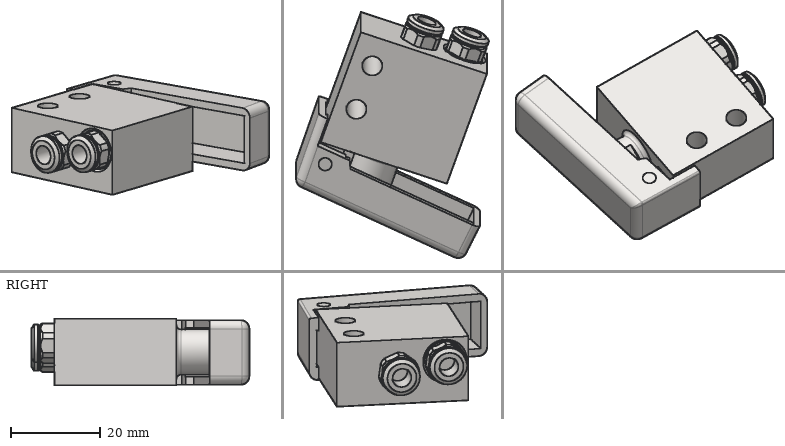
import cadquery as cq
import math


overall_y = 49.0

block_x = 30.0
block_y = 27.45
block_z = 15.0
mount_hole_d = 4.5
mount_hole_x = 5.0
mount_hole_ys = (6.65, 17.5)

lug_x = 6.0
lug_y = 7.6
pin_d = 3.0
pin_x = 2.65
pin_y = 32.1

lever_tilt = 6.5
lever_z0 = 0.15
lever_thickness = 14.55
lever_mid_z = lever_z0 + lever_thickness / 2
lever_end_x = 40.5
handle_depth = 9.15
hub_y0 = 28.6
hub_end_x = 7.55
hub_ramp_x = 8.35
leg_bottom_y = 21.75
leg_outer_x = -2.5
leg_inner_x = -0.35
leg_draft = 0.7
lever_round = 2.0
leg_edge_round = 0.5

side_wall = 1.75
end_wall = 1.5
roof_thickness = 1.25
pocket_x0 = 6.6
lug_slot_x0 = -0.8
lug_slot_z = 8.6
lug_clearance = 0.1

plunger_d = 10.2
plunger_x = 13.9
plunger_length = 11.25
plunger_fillet = 1.0
flat_start = 1.95
flat_angle = -28.2
flat_distance = 4.5

fitting_places = ((13.9, 7.5), (24.65, 9.5))
countersunk_place = fitting_places[1]
hex_across_flats = 8.45
hex_d = 9.0
hex_length = 3.15
hex_turn = 7.5
hex_chamfer_y = 0.5
hex_chamfer_r = 0.35
neck_d = 5.7
collar_d = 8.5
collar_start = 3.5
collar_end = 5.15
collar_back_chamfer = 0.25
collar_chamfer_y = 0.6
collar_chamfer_r = 0.95
bore_d = 4.25
shank_d = 7.85
countersink_d = 10.0
countersink_depth = 0.5

slope = math.tan(math.radians(lever_tilt))


def sloped_y(y0, x):
    """Height at x of a line that runs along the tilted lever and crosses X = 0 at y0."""
    return y0 + slope * x


def shift_up_lever(point, distance):
    """Move a point at right angles to the lever's long direction."""
    tilt = math.radians(lever_tilt)
    return (point[0] - distance * math.sin(tilt), point[1] + distance * math.cos(tilt))


def axis_crossing_y(point):
    """Height at which the tilted line through a point crosses X = 0."""
    return point[1] - slope * point[0]


def slab(points, thickness, mid_z):
    """Extrude an XY outline by a thickness centred on mid_z."""
    plane = cq.Workplane("XY", origin=(0, 0, mid_z))
    return plane.polyline(points).close().extrude(thickness / 2, both=True)


def rod_y(diameter, x, z, y0, y1):
    """Cylinder along Y from y0 to y1."""
    plane = cq.Workplane("XZ", origin=(x, y0, z))
    return plane.circle(diameter / 2).extrude(y0 - y1)


def pivot_rod():
    plane = cq.Workplane("XY", origin=(pin_x, pin_y, lever_z0))
    return plane.circle(pin_d / 2).extrude(lever_thickness)


def make_housing():
    block = cq.Workplane("XY").box(block_x, block_y, block_z, centered=False)
    holes = (
        cq.Workplane("XY")
        .pushPoints([(mount_hole_x, y) for y in mount_hole_ys])
        .circle(mount_hole_d / 2)
        .extrude(block_z)
    )
    lug_outline = [
        (0, block_y),
        (lug_x, block_y),
        (lug_x, block_y + lug_y),
        (0, block_y + lug_y),
    ]
    lug = slab(lug_outline, lug_slot_z - 2 * lug_clearance, lever_mid_z)
    housing = block.cut(holes).union(lug).cut(pivot_rod())
    for x, z in fitting_places:
        housing = housing.cut(rod_y(shank_d, x, z, 0, countersink_depth))
    return housing.cut(make_countersink())


def make_countersink():
    x, z = countersunk_place
    return (
        cq.Workplane("XZ", origin=(x, 0, z))
        .circle(countersink_d / 2)
        .workplane(offset=-countersink_depth)
        .circle(countersink_d / 2 - countersink_depth)
        .loft()
    )


def leg_face_x(y):
    """X of the leaning outer leg face at height y."""
    return leg_outer_x + (y - leg_bottom_y) * math.tan(math.radians(leg_draft))


def free_end_corners():
    """Sharp lower and upper corners of the free end, whose rounded top reaches the overall length."""
    tilt = math.radians(lever_tilt)
    corner_above_top = lever_round * (math.sin(tilt) + math.cos(tilt) - 1)
    high_y = overall_y - collar_end + corner_above_top
    end_low = (lever_end_x, high_y - handle_depth * math.cos(tilt))
    return end_low, shift_up_lever(end_low, handle_depth)


def make_lever():
    end_low, end_high = free_end_corners()
    underside_y0 = axis_crossing_y(end_low)
    top_y0 = axis_crossing_y(end_high)
    corner_y = sloped_y(top_y0, leg_outer_x)
    corner = (leg_face_x(corner_y), corner_y)
    outline = [
        (leg_outer_x, leg_bottom_y),
        (leg_inner_x, leg_bottom_y),
        (leg_inner_x, sloped_y(hub_y0, leg_inner_x)),
        (hub_end_x, sloped_y(hub_y0, hub_end_x)),
        (hub_ramp_x, sloped_y(underside_y0, hub_ramp_x)),
        end_low,
        end_high,
        corner,
    ]
    lever = slab(outline, lever_thickness, lever_mid_z)
    lever = round_lever(lever, corner, end_high, end_low)
    roof_y0 = axis_crossing_y(shift_up_lever(end_low, handle_depth - roof_thickness))
    hollow = make_pocket(end_low, roof_y0).union(make_lug_slot(roof_y0))
    return lever.cut(hollow).cut(pivot_rod())


def round_lever(lever, corner, end_high, end_low):
    """Round the outer edges of the top, the free end and the leg."""
    low_z = lever_z0
    high_z = lever_z0 + lever_thickness

    def edge_at(a, b, z):
        middle = ((a[0] + b[0]) / 2, (a[1] + b[1]) / 2, z)
        return cq.selectors.NearestToPointSelector(middle)

    leg_foot = (leg_outer_x, leg_bottom_y)
    big_edges = [
        lever.edges(edge_at(a, b, z)).val()
        for a, b, z in (
            (corner, end_high, low_z),
            (corner, end_high, high_z),
            (end_high, end_low, low_z),
            (end_high, end_low, high_z),
            (corner, leg_foot, low_z),
            (corner, corner, lever_mid_z),
            (end_high, end_high, lever_mid_z),
        )
    ]
    rounded = lever.newObject(big_edges).fillet(lever_round)
    return rounded.edges(edge_at(corner, leg_foot, high_z)).fillet(leg_edge_round)


def make_pocket(end_low, roof_y0):
    """Wide hollow of the handle, open on the underside."""
    tilt = math.radians(lever_tilt)
    mouth_end = (end_low[0] - end_wall * math.cos(tilt), end_low[1] - end_wall * math.sin(tilt))
    roof_end = shift_up_lever(mouth_end, handle_depth - roof_thickness)
    outline = [
        (pocket_x0, block_y),
        (mouth_end[0], block_y),
        mouth_end,
        roof_end,
        (pocket_x0, sloped_y(roof_y0, pocket_x0)),
    ]
    return slab(outline, lever_thickness - 2 * side_wall, lever_mid_z)


def make_lug_slot(roof_y0):
    """Narrow hollow around the lug, open through the leg."""
    outline = [
        (lug_slot_x0, leg_bottom_y),
        (pocket_x0, leg_bottom_y),
        (pocket_x0, sloped_y(roof_y0, pocket_x0)),
        (lug_slot_x0, sloped_y(roof_y0, lug_slot_x0)),
    ]
    return slab(outline, lug_slot_z, lever_mid_z)


def make_plunger():
    mid_z = block_z / 2
    radius = plunger_d / 2
    plunger = (
        cq.Workplane("XY")
        .lineTo(radius + plunger_fillet, 0)
        .radiusArc((radius, plunger_fillet), plunger_fillet)
        .lineTo(radius, plunger_length)
        .lineTo(0, plunger_length)
        .close()
        .revolve(360, (0, 0, 0), (0, 1, 0))
    )
    cutter = (
        cq.Workplane("XY")
        .box(plunger_d, plunger_length, radius, centered=(True, False, False))
        .translate((0, flat_start, flat_distance))
        .rotate((0, 0, 0), (0, 1, 0), flat_angle)
    )
    return plunger.cut(cutter).translate((plunger_x, block_y, mid_z))


def make_fitting(x, z):
    hex_r = hex_d / 2
    collar_r = collar_d / 2
    hexagon = (
        cq.Workplane("XZ")
        .polygon(6, hex_across_flats, circumscribed=True)
        .extrude(hex_length)
        .rotate((0, 0, 0), (0, 1, 0), hex_turn)
    )
    turned_hex = (
        cq.Workplane("XY")
        .lineTo(hex_r, 0)
        .lineTo(hex_r, hex_chamfer_y - hex_length)
        .lineTo(hex_r - hex_chamfer_r, -hex_length)
        .lineTo(0, -hex_length)
        .close()
        .revolve(360, (0, 0, 0), (0, 1, 0))
    )
    collar = (
        cq.Workplane("XY")
        .moveTo(0, -collar_start)
        .lineTo(collar_r - collar_back_chamfer, -collar_start)
        .lineTo(collar_r, -collar_start - collar_back_chamfer)
        .lineTo(collar_r, collar_chamfer_y - collar_end)
        .lineTo(collar_r - collar_chamfer_r, -collar_end)
        .lineTo(0, -collar_end)
        .close()
        .revolve(360, (0, 0, 0), (0, 1, 0))
    )
    neck = rod_y(neck_d, 0, 0, -collar_start, 0)
    shank = rod_y(shank_d, 0, 0, 0, countersink_depth)
    bore = rod_y(bore_d, 0, 0, -collar_end, 0)
    fitting = hexagon.intersect(turned_hex).union(neck).union(collar).union(shank).cut(bore)
    return fitting.translate((x, 0, z))


housing = make_housing()
lever = make_lever()
pin = pivot_rod()
plunger = make_plunger()
fittings = [make_fitting(x, z).val() for x, z in fitting_places]

result = cq.Compound.makeCompound([housing.val(), lever.val(), pin.val(), plunger.val(), *fittings])